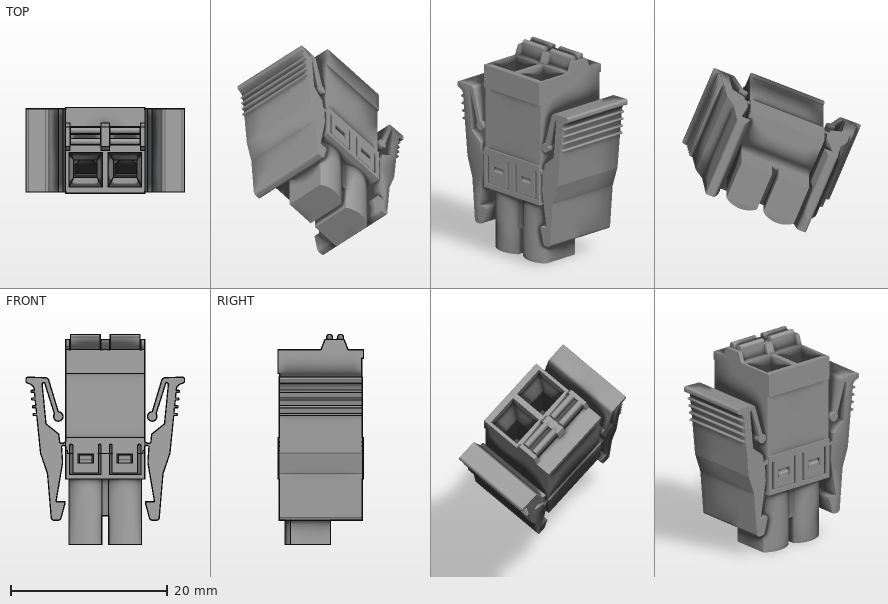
import cadquery as cq

PITCH = 5.08
POLES = 2
OVERALL_WIDTH = 20.32
pole_centers = [(i - (POLES - 1) / 2) * PITCH for i in range(POLES)]

HOUSING_WIDTH = POLES * PITCH
HALF_WIDTH = HOUSING_WIDTH / 2
HALF_DEPTH = 5.5
WALL_HALF_DEPTH = 5.25
HOUSING_TOP = 16.57
SKIRT_TOP = 5.31
FRONT_LIP_BOTTOM = 13.49
BACK_LIP_BOTTOM = 15.46

PART_Z = 3.26
SIDE_PART_Z = 3.68
SIDE_STEP_WIDTH = 0.22

RIB_TOP = 17.87
RIB_FOOT_FRONT = 0.02
RIB_FOOT_BACK = 3.5
RIB_TAPER = 0.5
BUTTON_SLOT_WIDTH = 3.96
BUTTON_SLOT_FRONT = 0.69
BUTTON_SLOT_BACK = 3.05
BUTTON_SLOT_BOTTOM = 10.0

BUTTON_WIDTH = 3.86
BUTTON_TOP = 18.53
BUTTON_FRONT = 0.75
BUTTON_BACK = 2.92
KNOB_THICKNESS = 0.76
VALLEY_Z = 17.4
VALLEY_FLOOR_WIDTH = 0.2
VALLEY_ROUND_HEIGHT = 0.45
KNOB_FACE_DRAFT = 0.12

ENTRY_WIDTH = 4.29
ENTRY_CENTER = 2.52
ENTRY_FRONT = -4.67
ENTRY_BACK = -0.28
ENTRY_DEPTH = 2.5
FUNNEL_DEPTH = 2.5
CHAMBER_WIDTH = 3.0
CHAMBER_FRONT = -3.49
CHAMBER_BACK = -1.23

CONTACT_WIDTH = 2.8
CONTACT_FRONT = -3.27
CONTACT_TOP = 11.4
CONTACT_SHELF_Z = 4.0
CONTACT_SHELF_BACK = -2.94
CONTACT_CORNER = 0.6

TONGUE_WIDTH = 3.24
TONGUE_CENTER = 2.515
TONGUE_BOTTOM = 0.77
TONGUE_THICKNESS = 0.6
POCKET_INNER = 0.53
POCKET_OUTER = 4.58
POCKET_BOTTOM = 0.6
SLOT_TOP = 4.47
WINDOW_WIDTH = 2.0
WINDOW_BOTTOM = 2.03
WINDOW_TOP = 3.19
TOOTH_WIDTH = 1.6
TOOTH_TOP = 3.09
TOOTH_RAMP_END = 2.5
TOOTH_HEIGHT = 0.55
TOOTH_ROUND = 0.2

SOCKET_WIDTH = 4.2
SOCKET_BOTTOM = -8.38
SOCKET_BACK = 1.26
SOCKET_SIDE_FRONT = -3.88
SOCKET_FRONT = -4.59
WEB_BOTTOM = -4.69

LEVER_DEPTH = 10.68
HALF_OVERALL = OVERALL_WIDTH / 2
BULB_X = -6.01
BULB_Z = 8.01
BULB_RADIUS = 0.61
GRIP_RIBS = 4
GRIP_TOP_Z = 11.23
GRIP_SPACING = 0.99
GRIP_HEIGHT = 0.28
GRIP_LENGTH = 0.44
LEVER_SHOULDER = (-8.29, 3.34)
LEVER_GRIP_END = (-9.10, 11.40)


def block(x0, x1, y0, y1, z0, z1):
    """Box between opposite corners."""
    return cq.Workplane("XY").box(x1 - x0, y1 - y0, z1 - z0, centered=False).translate((x0, y0, z0))


def centered_block(x, width, y0, y1, z0, z1):
    """Box centred on a given X."""
    return block(x - width / 2, x + width / 2, y0, y1, z0, z1)


def side_prism(x, width, outline):
    """Prism along X, centred on x, from a (Y, Z) outline."""
    return cq.Workplane("YZ").polyline(outline).close().extrude(width / 2, both=True).translate((x, 0, 0))


def side_sign(x):
    return 1 if x > 0 else -1


def parting_outline():
    """Front (X, Z) outline of everything that lies under the parting line."""
    step_x = HALF_WIDTH - SIDE_STEP_WIDTH
    return [
        (-HALF_WIDTH, 0), (HALF_WIDTH, 0), (HALF_WIDTH, SIDE_PART_Z), (step_x, SIDE_PART_Z),
        (step_x, PART_Z), (-step_x, PART_Z), (-step_x, SIDE_PART_Z), (-HALF_WIDTH, SIDE_PART_Z),
    ]


def make_tooth(x):
    """Snap tooth on the pocket floor, with its ramp facing up."""
    floor_y = -HALF_DEPTH + TONGUE_THICKNESS
    tip_y = floor_y - TOOTH_HEIGHT
    tooth = side_prism(x, TOOTH_WIDTH, [
        (floor_y, WINDOW_BOTTOM), (tip_y, WINDOW_BOTTOM), (tip_y, TOOTH_RAMP_END), (floor_y, TOOTH_TOP),
    ])
    return tooth.edges(cq.NearestToPointSelector((x, tip_y, TOOTH_RAMP_END))).fillet(TOOTH_ROUND)


def make_socket(x):
    """Plug socket with a flat back and a bowed front."""
    half = SOCKET_WIDTH / 2
    return (
        cq.Workplane("XY")
        .moveTo(x - half, SOCKET_BACK)
        .lineTo(x - half, SOCKET_SIDE_FRONT)
        .threePointArc((x, SOCKET_FRONT), (x + half, SOCKET_SIDE_FRONT))
        .lineTo(x + half, SOCKET_BACK)
        .close()
        .extrude(SOCKET_BOTTOM)
    )


def make_base():
    body = cq.Workplane("XZ").polyline(parting_outline()).close().extrude(HALF_DEPTH, both=True)
    for x in pole_centers:
        side = side_sign(x)
        pocket_x = side * (POCKET_INNER + POCKET_OUTER) / 2
        pocket = centered_block(
            pocket_x, POCKET_OUTER - POCKET_INNER,
            -HALF_DEPTH, -HALF_DEPTH + TONGUE_THICKNESS, POCKET_BOTTOM, SIDE_PART_Z,
        )
        body = body.cut(pocket).union(make_tooth(side * TONGUE_CENTER)).union(make_socket(x))
    web = centered_block(0, PITCH - SOCKET_WIDTH, SOCKET_SIDE_FRONT, SOCKET_BACK, WEB_BOTTOM, 0)
    return body.union(web)


def make_shell():
    """Outer block with its lips and skirt, above the parting line."""
    outline = [
        (-HALF_DEPTH, 0), (HALF_DEPTH, 0), (HALF_DEPTH, SKIRT_TOP), (WALL_HALF_DEPTH, SKIRT_TOP),
        (WALL_HALF_DEPTH, BACK_LIP_BOTTOM), (HALF_DEPTH, BACK_LIP_BOTTOM), (HALF_DEPTH, HOUSING_TOP),
        (-HALF_DEPTH, HOUSING_TOP), (-HALF_DEPTH, FRONT_LIP_BOTTOM), (-WALL_HALF_DEPTH, FRONT_LIP_BOTTOM),
        (-WALL_HALF_DEPTH, SKIRT_TOP), (-HALF_DEPTH, SKIRT_TOP),
    ]
    below = cq.Workplane("XZ").polyline(parting_outline()).close().extrude(HALF_DEPTH, both=True)
    return side_prism(0, HOUSING_WIDTH, outline).cut(below)


def make_guide_ribs():
    """Tapered ribs on top, left standing on both sides of each button."""
    ribs = side_prism(0, HOUSING_WIDTH, [
        (RIB_FOOT_FRONT, HOUSING_TOP), (RIB_FOOT_BACK, HOUSING_TOP),
        (RIB_FOOT_BACK - RIB_TAPER, RIB_TOP), (RIB_FOOT_FRONT + RIB_TAPER, RIB_TOP),
    ])
    for x in pole_centers:
        ribs = ribs.cut(centered_block(
            x, BUTTON_SLOT_WIDTH, RIB_FOOT_FRONT, RIB_FOOT_BACK, HOUSING_TOP, RIB_TOP))
    return ribs


def make_wire_entry(x):
    """Straight mouth, funnel and contact chamber of one pole."""
    entry_x = side_sign(x) * ENTRY_CENTER
    mouth_bottom = HOUSING_TOP - ENTRY_DEPTH
    funnel_bottom = mouth_bottom - FUNNEL_DEPTH
    mouth = centered_block(entry_x, ENTRY_WIDTH, ENTRY_FRONT, ENTRY_BACK, mouth_bottom, HOUSING_TOP)
    chamber = centered_block(x, CHAMBER_WIDTH, CHAMBER_FRONT, CHAMBER_BACK, PART_Z, funnel_bottom)
    funnel = (
        cq.Workplane("XY")
        .workplane(offset=mouth_bottom)
        .center(entry_x, (ENTRY_FRONT + ENTRY_BACK) / 2)
        .rect(ENTRY_WIDTH, ENTRY_BACK - ENTRY_FRONT)
        .workplane(offset=-FUNNEL_DEPTH)
        .center(x - entry_x, (CHAMBER_FRONT + CHAMBER_BACK - ENTRY_FRONT - ENTRY_BACK) / 2)
        .rect(CHAMBER_WIDTH, CHAMBER_BACK - CHAMBER_FRONT)
        .loft(ruled=True)
    )
    return mouth.union(funnel).union(chamber)


def make_tongue_slot(x0, x1):
    """Slot beside a tongue, rounded at the top, reaching down to the parting line."""
    radius = (x1 - x0) / 2
    return (
        cq.Workplane("XZ", origin=(0, -HALF_DEPTH + TONGUE_THICKNESS, 0))
        .moveTo(x0, PART_Z)
        .lineTo(x0, SLOT_TOP - radius)
        .threePointArc(((x0 + x1) / 2, SLOT_TOP), (x1, SLOT_TOP - radius))
        .lineTo(x1, PART_Z)
        .close()
        .extrude(TONGUE_THICKNESS)
    )


def make_housing():
    body = make_shell().union(make_guide_ribs())
    tongue_back = -HALF_DEPTH + TONGUE_THICKNESS
    for x in pole_centers:
        tongue_x = side_sign(x) * TONGUE_CENTER
        tongue_sides = sorted(side_sign(x) * (TONGUE_CENTER + s * TONGUE_WIDTH / 2) for s in (-1, 1))
        pocket_sides = sorted(side_sign(x) * edge for edge in (POCKET_INNER, POCKET_OUTER))
        button_slot = centered_block(
            x, BUTTON_SLOT_WIDTH, BUTTON_SLOT_FRONT, BUTTON_SLOT_BACK, BUTTON_SLOT_BOTTOM, HOUSING_TOP)
        tongue = centered_block(
            tongue_x, TONGUE_WIDTH, -HALF_DEPTH, tongue_back, TONGUE_BOTTOM, PART_Z)
        window = centered_block(
            tongue_x, WINDOW_WIDTH, -HALF_DEPTH, tongue_back, WINDOW_BOTTOM, WINDOW_TOP)
        body = body.cut(button_slot).cut(make_wire_entry(x))
        body = body.union(tongue).cut(window)
        body = body.cut(make_tongue_slot(pocket_sides[0], tongue_sides[0]))
        body = body.cut(make_tongue_slot(tongue_sides[1], pocket_sides[1]))
    return body


def make_button(x):
    """Push button with two round-topped knobs; the back one runs out into the floor between them."""
    radius = KNOB_THICKNESS / 2
    shoulder = BUTTON_TOP - radius
    front_knob = BUTTON_FRONT + KNOB_THICKNESS
    back_knob = BUTTON_BACK - KNOB_THICKNESS
    round_start = front_knob + VALLEY_FLOOR_WIDTH
    round_top = VALLEY_Z + VALLEY_ROUND_HEIGHT
    return (
        cq.Workplane("YZ")
        .moveTo(BUTTON_FRONT, BUTTON_SLOT_BOTTOM)
        .lineTo(BUTTON_FRONT, shoulder)
        .threePointArc((BUTTON_FRONT + radius, BUTTON_TOP), (front_knob, shoulder))
        .lineTo(front_knob, VALLEY_Z)
        .lineTo(round_start, VALLEY_Z)
        .tangentArcPoint((back_knob - KNOB_FACE_DRAFT, round_top), relative=False)
        .lineTo(back_knob, shoulder)
        .threePointArc((BUTTON_BACK - radius, BUTTON_TOP), (BUTTON_BACK, shoulder))
        .lineTo(BUTTON_BACK, BUTTON_SLOT_BOTTOM)
        .close()
        .extrude(BUTTON_WIDTH / 2, both=True)
        .translate((x, 0, 0))
    )


def make_contact(x):
    """Contact standing on the base, with a sloped clamping face and a front shelf."""
    contact_x = x + (CHAMBER_WIDTH - CONTACT_WIDTH) / 2
    body = side_prism(contact_x, CONTACT_WIDTH, [
        (CONTACT_FRONT, PART_Z), (CHAMBER_BACK, PART_Z), (CHAMBER_BACK, CONTACT_TOP),
        (CONTACT_SHELF_BACK, CONTACT_SHELF_Z), (CONTACT_FRONT, CONTACT_SHELF_Z),
    ])
    return body.edges("|Z and >Y").chamfer(CONTACT_CORNER)


def make_grip_rib(z):
    """Small round-tipped rib on the outer face of the left lever."""
    slope = (LEVER_GRIP_END[0] - LEVER_SHOULDER[0]) / (LEVER_GRIP_END[1] - LEVER_SHOULDER[1])
    face_x = LEVER_SHOULDER[0] + slope * (z - LEVER_SHOULDER[1])
    radius = GRIP_HEIGHT / 2
    tip_x = face_x - GRIP_LENGTH
    root_x = face_x + GRIP_HEIGHT
    return (
        cq.Workplane("XZ")
        .moveTo(root_x, z + radius)
        .lineTo(tip_x + radius, z + radius)
        .threePointArc((tip_x, z), (tip_x + radius, z - radius))
        .lineTo(root_x, z - radius)
        .close()
        .extrude(LEVER_DEPTH / 2, both=True)
    )


def make_left_lever():
    """Latching lever: thumb rest, spring arm, film hinge and hook, all in one profile."""
    thumb_top = (-HALF_OVERALL, 13.07)
    thumb_bottom = (-HALF_OVERALL, 12.38)
    arm_top = (-7.32, 12.97)
    hook_toe = (-5.73, -5.28)
    hook_heel = (-6.89, -5.28)
    roundings = [(thumb_top, 0.3), (thumb_bottom, 0.3), (arm_top, 0.45), (hook_toe, 0.42), (hook_heel, 0.42)]
    body = (
        cq.Workplane("XZ")
        .moveTo(*thumb_top)
        .lineTo(*arm_top)
        .lineTo(-5.82, BULB_Z)
        .lineTo(-6.40, BULB_Z)
        .lineTo(-7.69, 12.08)
        .threePointArc((-7.89, 12.33), (-8.07, 12.18))
        .lineTo(-7.57, 7.07)
        .lineTo(-5.94, 5.75)
        .lineTo(-5.81, 4.68)
        .threePointArc((-5.5, 4.6), (-HALF_WIDTH, 4.82))
        .lineTo(-HALF_WIDTH, 4.18)
        .threePointArc((-5.3, 4.3), (-5.58, 4.18))
        .lineTo(-5.44, 2.12)
        .lineTo(-6.29, -2.87)
        .lineTo(-5.16, -2.87)
        .lineTo(-5.16, -3.17)
        .lineTo(*hook_toe)
        .lineTo(*hook_heel)
        .lineTo(-7.40, 0.70)
        .lineTo(*LEVER_SHOULDER)
        .lineTo(*LEVER_GRIP_END)
        .threePointArc((-9.35, 11.99), (-9.85, 12.22))
        .lineTo(*thumb_bottom)
        .close()
        .extrude(LEVER_DEPTH / 2, both=True)
    )
    for (x, z), radius in roundings:
        body = body.edges(cq.NearestToPointSelector((x, 0, z))).fillet(radius)
    bulb = (
        cq.Workplane("XZ").center(BULB_X, BULB_Z).circle(BULB_RADIUS).extrude(LEVER_DEPTH / 2, both=True)
    )
    body = body.union(bulb)
    for i in range(GRIP_RIBS):
        body = body.union(make_grip_rib(GRIP_TOP_Z - i * GRIP_SPACING))
    return body


base = make_base()
housing = make_housing()
buttons = [make_button(x) for x in pole_centers]
contacts = [make_contact(x) for x in pole_centers]
left_lever = make_left_lever()
levers = [left_lever, left_lever.mirror("YZ")]

result = cq.Compound.makeCompound(
    [body.val() for body in [base, housing, *buttons, *contacts, *levers]]
)